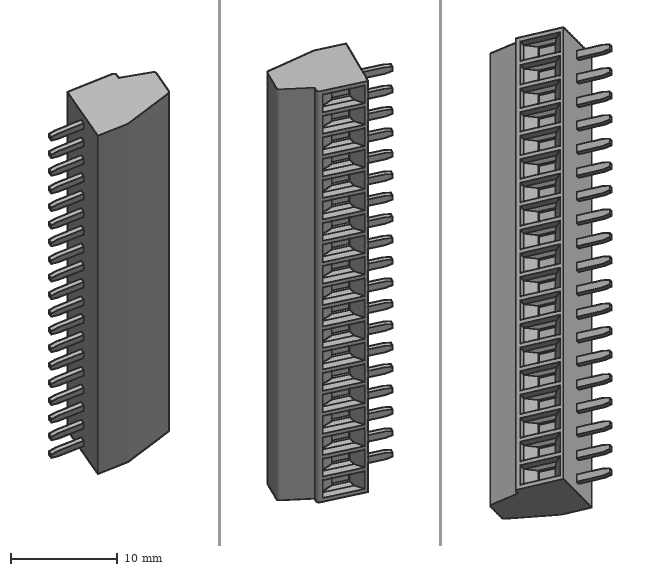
import cadquery as cq

length = 48.7
width = 6.2
overall_height = 12.0
body_height = 8.55
shoulder_height = 3.2
ledge_height = 5.1
ledge_inner_x = -2.4
crest_half_width = 1.45
edge_radius = 0.3

terminal_count = 19
end_margin = 1.5
pitch = (length - 2 * end_margin) / (terminal_count - 1)

mouth_bottom = 0.35
mouth_top = 4.55
mouth_length = 2.1
mouth_depth = 0.85
funnel_depth = 0.35
throat_bottom = 1.4
throat_top = 3.2
throat_length = 1.45
throat_reach = 0.3

pin_drop = overall_height - body_height
pin_thickness = 0.5
pin_width = 0.8
tip_width = 0.5
tip_length = 0.75


def make_housing():
    """Prism along Z with a stepped, tapering cross-section and rounded top edges."""
    half = width / 2
    blank = (
        cq.Workplane("XY")
        .workplane(offset=-length / 2)
        .moveTo(-half, 0)
        .lineTo(half, 0)
        .lineTo(half, shoulder_height)
        .lineTo(crest_half_width, body_height)
        .lineTo(-crest_half_width, body_height)
        .lineTo(ledge_inner_x, ledge_height)
        .lineTo(-half, ledge_height)
        .close()
        .extrude(length)
    )
    crest_edges = blank.faces(">Y").edges("|Z")
    ledge_edge = blank.edges(cq.selectors.NearestToPointSelector((-half, ledge_height, 0)))
    return blank.newObject(crest_edges.vals() + ledge_edge.vals()).fillet(edge_radius)


def make_wire_entry(z):
    """Stepped opening that runs inward from the -X side."""
    throat_depth = mouth_depth + funnel_depth
    ramp_rise = throat_bottom - mouth_bottom
    funnel_bottom = mouth_bottom + ramp_rise * mouth_depth / throat_depth

    outer_x = -width / 2
    funnel_x = outer_x + mouth_depth
    throat_x = outer_x + throat_depth
    funnel_middle = (funnel_bottom + mouth_top) / 2
    throat_middle = (throat_bottom + throat_top) / 2
    throat_height = throat_top - throat_bottom

    mouth = (
        cq.Workplane("XY", origin=(0, 0, z))
        .moveTo(outer_x, mouth_bottom)
        .lineTo(outer_x, mouth_top)
        .lineTo(funnel_x, mouth_top)
        .lineTo(funnel_x, funnel_bottom)
        .close()
        .extrude(mouth_length / 2, both=True)
    )
    funnel = (
        cq.Workplane("YZ", origin=(funnel_x, funnel_middle, z))
        .rect(mouth_top - funnel_bottom, mouth_length)
        .workplane(offset=funnel_depth)
        .center(throat_middle - funnel_middle, 0)
        .rect(throat_height, throat_length)
        .loft(ruled=True)
    )
    throat = (
        cq.Workplane("YZ", origin=(throat_x, throat_middle, z))
        .rect(throat_height, throat_length)
        .extrude(throat_reach)
    )
    return mouth.union(funnel).union(throat)


def make_pin(z):
    """Flat pin below the housing with a tapered tip."""
    taper_start = tip_length - pin_drop
    return (
        cq.Workplane("YZ")
        .polyline([
            (0, z - pin_width / 2),
            (taper_start, z - pin_width / 2),
            (-pin_drop, z - tip_width / 2),
            (-pin_drop, z + tip_width / 2),
            (taper_start, z + pin_width / 2),
            (0, z + pin_width / 2),
        ])
        .close()
        .extrude(pin_thickness / 2, both=True)
    )


result = make_housing()
for index in range(terminal_count):
    terminal_z = (index - (terminal_count - 1) / 2) * pitch
    result = result.cut(make_wire_entry(terminal_z)).union(make_pin(terminal_z))